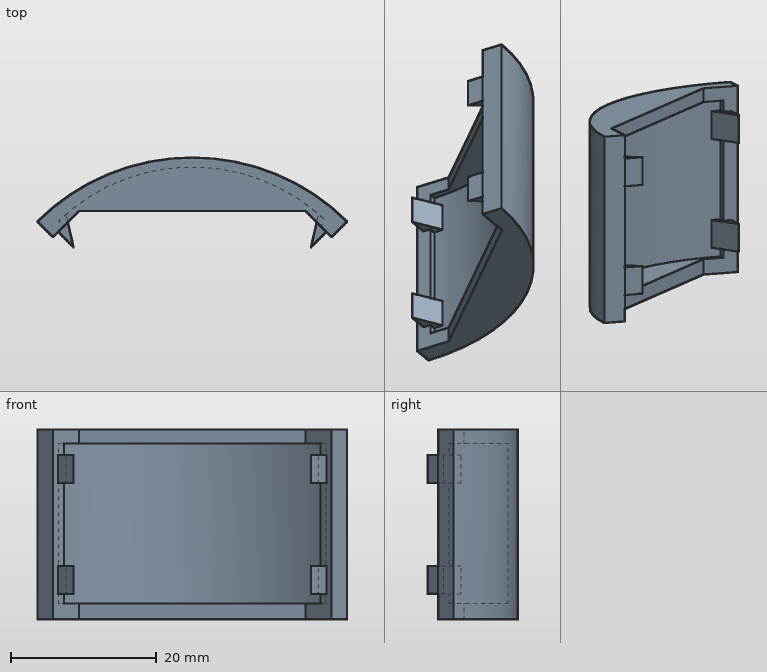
import cadquery as cq
import math

width = 42.45
height = 26.0
end_angle = 45.0
rim_thickness = 3.0
crown_wall = 1.3
pocket_end_depth = 1.0
crown_depth = 7.35
top_wall = 1.9
bottom_wall = 2.15
pocket_end_margin = 2.12

tab_offset = 1.0
tab_length = 3.0
tab_root_width = 2.55
tab_root_depth = 1.05
tab_height = 3.85
tab_edge_distance = 3.5
pocket_front_clearance = 0.42

outer_radius = width / 2 / math.sin(math.radians(end_angle))
rim_distance = outer_radius - rim_thickness
pocket_crown_y = outer_radius - crown_wall
front_y = outer_radius - crown_depth


def end_point(inset, distance):
    """Point on the +X end, inset from its end face, at a distance along that face's direction."""
    angle = math.radians(end_angle)
    x = distance * math.sin(angle) - inset * math.cos(angle)
    y = distance * math.cos(angle) + inset * math.sin(angle)
    return (x, y)


def mirrored(point):
    return (-point[0], point[1])


def make_body():
    """Solid arched block with sloping rims at both ends."""
    outer_end = end_point(0, outer_radius)
    rim_corner = end_point(0, rim_distance)
    rim_run = (front_y - rim_corner[1]) / math.tan(math.radians(end_angle))
    front_corner = (rim_corner[0] - rim_run, front_y)
    return (
        cq.Workplane("XY")
        .moveTo(*mirrored(outer_end))
        .threePointArc((0, outer_radius), outer_end)
        .lineTo(*rim_corner)
        .lineTo(*front_corner)
        .lineTo(*mirrored(front_corner))
        .lineTo(*mirrored(rim_corner))
        .close()
        .extrude(height)
    )


def make_pocket():
    """Hollow with a curved back, open at the front."""
    back_corner = end_point(pocket_end_margin, rim_distance + pocket_end_depth)
    front_corner = end_point(pocket_end_margin, rim_distance - pocket_front_clearance)
    return (
        cq.Workplane("XY")
        .workplane(offset=bottom_wall)
        .moveTo(*mirrored(back_corner))
        .threePointArc((0, pocket_crown_y), back_corner)
        .lineTo(*front_corner)
        .lineTo(*mirrored(front_corner))
        .close()
        .extrude(height - bottom_wall - top_wall)
    )


def make_tab(bottom_z):
    """Triangular snap tab on the +X rim."""
    root_distance = rim_distance + tab_root_depth
    profile = [
        end_point(tab_offset, rim_distance - tab_length),
        end_point(tab_offset, root_distance),
        end_point(tab_offset + tab_root_width, root_distance),
    ]
    return (
        cq.Workplane("XY")
        .workplane(offset=bottom_z)
        .polyline(profile)
        .close()
        .extrude(tab_height)
    )


result = make_body().cut(make_pocket())
for tab_bottom in (tab_edge_distance, height - tab_edge_distance - tab_height):
    tab = make_tab(tab_bottom)
    result = result.union(tab).union(tab.mirror("YZ"))